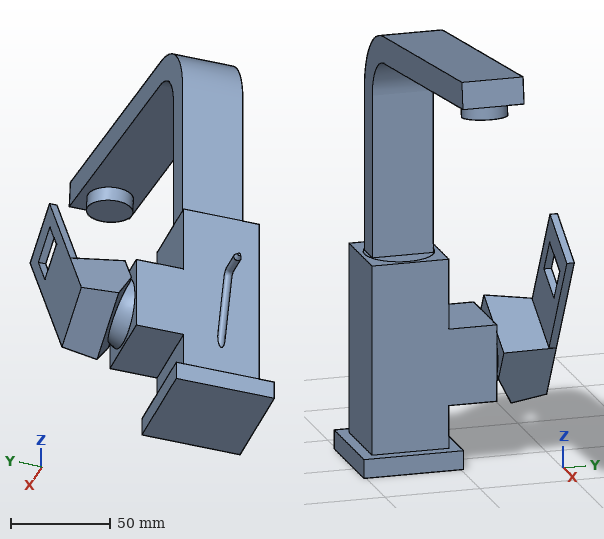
import cadquery as cq
import math

BASE_SIDE = 52.5
BASE_HEIGHT = 10.0
COLUMN_SIDE = 40.5
COLUMN_TOP = 110.0
NECK_END = 45.5
NECK_Z = 52.7

DOME_BASE_DIAMETER = 36.0
DOME_RADIUS = 19.7

LEVER_LEAN = 30.0
HUB_FRONT = 47.0
LEVER_BACK = 76.0
HUB_FRONT_SIDE = COLUMN_SIDE
HUB_BACK_SIDE = 34.2
HUB_CUT_Y = 57.0
HUB_CUT_RISE = 1.0
ARM_THICKNESS = 4.0
ARM_TIP = 80.0
WINDOW_WIDTH = 20.2
WINDOW_BOTTOM = 47.0
WINDOW_TOP = 66.7

ROD_DIAMETER = 4.0
ROD_TIP_X = -47.2
ROD_Z = 68.7
ROD_CORNER_X = -31.0
ROD_ENTRY_Z = 35.7
ROD_BEND_RADIUS = 4.0
ROD_POINT_LENGTH = 2.7
ROD_POINT_DIAMETER = 1.5

SPOUT_THICKNESS = 14.0
SPOUT_WIDTH = 32.2
SPOUT_RISE_ANGLE = 7.1
SPOUT_OUTER_RADIUS = 37.5
SPOUT_TOP = 250.0
SPOUT_REACH = 165.7
FOOT_DIAMETER = 36.0
FOOT_DEPTH = 10.0
AERATOR_DIAMETER = 23.5
AERATOR_HEIGHT = 7.5
AERATOR_INSET = 16.7
JOIN_OVERLAP = 2.5


def make_column():
    base = cq.Workplane("XY").rect(BASE_SIDE, BASE_SIDE).extrude(BASE_HEIGHT)
    column = cq.Workplane("XY").rect(COLUMN_SIDE, COLUMN_SIDE).extrude(COLUMN_TOP)
    neck = (
        cq.Workplane("XZ", origin=(0, 0, NECK_Z))
        .rect(COLUMN_SIDE, COLUMN_SIDE)
        .extrude(-NECK_END)
    )
    foot_socket = (
        cq.Workplane("XY", origin=(0, 0, COLUMN_TOP))
        .circle(FOOT_DIAMETER / 2)
        .extrude(-FOOT_DEPTH)
    )
    return base.union(column).union(neck).cut(foot_socket)


def make_dome():
    """Spherical cap whose rim lies on the end of the neck."""
    center_setback = math.sqrt(DOME_RADIUS**2 - (DOME_BASE_DIAMETER / 2) ** 2)
    ball = cq.Workplane("XY").sphere(DOME_RADIUS).translate((0, NECK_END - center_setback, NECK_Z))
    rim_cylinder = (
        cq.Workplane("XZ", origin=(0, NECK_END - JOIN_OVERLAP, NECK_Z))
        .circle(DOME_BASE_DIAMETER / 2)
        .extrude(-2 * DOME_RADIUS)
    )
    return ball.intersect(rim_cylinder)


def make_lever():
    """Build the lever upright about the Y axis, then lean it and lift it to the neck."""
    hub = (
        cq.Workplane("XZ", origin=(0, HUB_FRONT, 0))
        .rect(HUB_FRONT_SIDE, HUB_FRONT_SIDE)
        .workplane(offset=HUB_FRONT - LEVER_BACK)
        .rect(HUB_BACK_SIDE, HUB_BACK_SIDE)
        .loft(ruled=True)
    )
    taper = (HUB_FRONT_SIDE - HUB_BACK_SIDE) / 2 / (LEVER_BACK - HUB_FRONT)
    cut_z = -HUB_FRONT_SIDE / 2 + taper * (HUB_CUT_Y - HUB_FRONT)
    cut_slope = (HUB_CUT_Y - HUB_FRONT) / (HUB_CUT_RISE - cut_z)
    below_z = -HUB_FRONT_SIDE
    below_y = HUB_CUT_Y + cut_slope * (cut_z - below_z)
    lower_cut = (
        cq.Workplane("YZ")
        .polyline([(HUB_FRONT, HUB_CUT_RISE), (below_y, below_z), (HUB_FRONT, below_z)])
        .close()
        .extrude(HUB_FRONT_SIDE, both=True)
    )
    arm = cq.Workplane("XY").box(HUB_BACK_SIDE, ARM_THICKNESS, ARM_TIP, centered=(True, False, False))
    window = (
        cq.Workplane("XY")
        .box(WINDOW_WIDTH, ARM_THICKNESS, WINDOW_TOP - WINDOW_BOTTOM, centered=(True, False, False))
        .translate((0, 0, WINDOW_BOTTOM))
    )
    arm = arm.cut(window).translate((0, LEVER_BACK - ARM_THICKNESS, 0))
    lever = hub.cut(lower_cut).union(arm)
    return lever.rotate((0, 0, 0), (0, 1, 0), LEVER_LEAN).translate((0, 0, NECK_Z))


def make_rod():
    """Pointed rod with a horizontal grip and a leg sloping down into the column."""
    column_face = -COLUMN_SIDE / 2
    leg_slope = math.atan2(ROD_Z - ROD_ENTRY_Z, column_face - ROD_CORNER_X)
    tangent = ROD_BEND_RADIUS * math.tan(leg_slope / 2)
    bend_x = ROD_CORNER_X - tangent
    bend_z = ROD_Z - ROD_BEND_RADIUS

    def on_bend(angle):
        return (bend_x + ROD_BEND_RADIUS * math.sin(angle), bend_z + ROD_BEND_RADIUS * math.cos(angle))

    buried_x = column_face + JOIN_OVERLAP
    buried_z = ROD_ENTRY_Z - JOIN_OVERLAP * math.tan(leg_slope)
    grip_start = ROD_TIP_X + ROD_POINT_LENGTH
    path = (
        cq.Workplane("XZ")
        .moveTo(grip_start, ROD_Z)
        .lineTo(bend_x, ROD_Z)
        .threePointArc(on_bend(leg_slope / 2), on_bend(leg_slope))
        .lineTo(buried_x, buried_z)
    )
    bar = cq.Workplane("YZ", origin=(grip_start, 0, ROD_Z)).circle(ROD_DIAMETER / 2).sweep(path)
    point = (
        cq.Workplane("YZ", origin=(ROD_TIP_X, 0, ROD_Z))
        .circle(ROD_POINT_DIAMETER / 2)
        .workplane(offset=ROD_POINT_LENGTH)
        .circle(ROD_DIAMETER / 2)
        .loft()
    )
    return bar.union(point)


def make_housing():
    """Column, cartridge dome, lever and drain rod as one body."""
    return make_column().union(make_dome()).union(make_lever()).union(make_rod())


def make_spout():
    rise = math.radians(SPOUT_RISE_ANGLE)
    along = (math.cos(rise), math.sin(rise))
    normal = (-math.sin(rise), math.cos(rise))
    inner_radius = SPOUT_OUTER_RADIUS - SPOUT_THICKNESS

    lower_tip = (SPOUT_REACH, SPOUT_TOP - SPOUT_THICKNESS * normal[1])
    upper_tip = (SPOUT_REACH + SPOUT_THICKNESS * normal[0], SPOUT_TOP)

    center_x = SPOUT_OUTER_RADIUS - SPOUT_THICKNESS / 2
    outer_end_x = center_x + SPOUT_OUTER_RADIUS * normal[0]
    outer_end_z = SPOUT_TOP - (upper_tip[0] - outer_end_x) * math.tan(rise)
    center_z = outer_end_z - SPOUT_OUTER_RADIUS * normal[1]

    def on_bend(radius, angle):
        return (center_x + radius * math.cos(angle), center_z + radius * math.sin(angle))

    end_angle = math.pi / 2 + rise
    mid_angle = (math.pi + end_angle) / 2
    bar = (
        cq.Workplane("XZ")
        .moveTo(-SPOUT_THICKNESS / 2, COLUMN_TOP)
        .lineTo(*on_bend(SPOUT_OUTER_RADIUS, math.pi))
        .threePointArc(on_bend(SPOUT_OUTER_RADIUS, mid_angle), on_bend(SPOUT_OUTER_RADIUS, end_angle))
        .lineTo(*upper_tip)
        .lineTo(*lower_tip)
        .lineTo(*on_bend(inner_radius, end_angle))
        .threePointArc(on_bend(inner_radius, mid_angle), on_bend(inner_radius, math.pi))
        .lineTo(SPOUT_THICKNESS / 2, COLUMN_TOP)
        .close()
        .extrude(SPOUT_WIDTH / 2, both=True)
    )
    foot = (
        cq.Workplane("XY", origin=(0, 0, COLUMN_TOP - FOOT_DEPTH))
        .circle(FOOT_DIAMETER / 2)
        .extrude(FOOT_DEPTH)
    )
    aerator_plane = cq.Plane(
        origin=(lower_tip[0] - AERATOR_INSET * along[0], 0, lower_tip[1] - AERATOR_INSET * along[1]),
        xDir=(along[0], 0, along[1]),
        normal=(-normal[0], 0, -normal[1]),
    )
    aerator = (
        cq.Workplane(aerator_plane)
        .workplane(offset=-JOIN_OVERLAP)
        .circle(AERATOR_DIAMETER / 2)
        .extrude(AERATOR_HEIGHT + JOIN_OVERLAP)
    )
    return bar.union(foot).union(aerator)


housing = make_housing()
spout = make_spout()
result = cq.Compound.makeCompound([housing.val(), spout.val()])